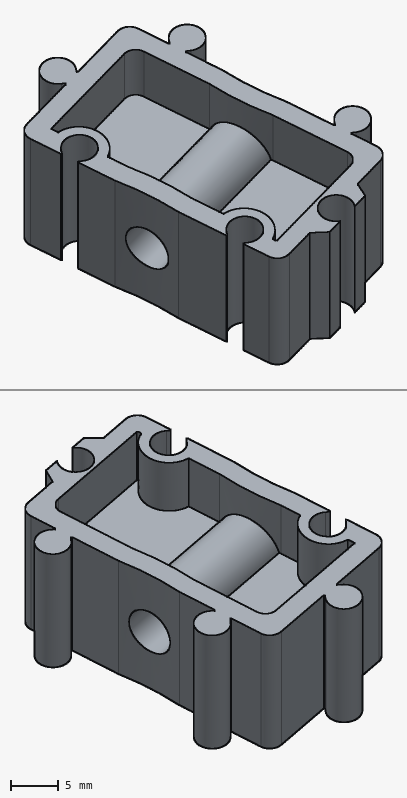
import cadquery as cq
import math

length = 33.9
depth = 20.03
height = 16.0
corner_radius = 1.57
floor_thickness = 9.2

cavity_left = 2.5
cavity_right = 31.68
cavity_front = 2.48
cavity_back = 17.55
cavity_radius = 1.45
corner_groove_depth = 0.1

bore_x = 16.53
bore_z = height / 2
bore_diameter = 5.5
tube_diameter = 8.2
waist_half_width = 4.1
waist_sag = 0.25

pin_radius = 1.95
pin_offset = depth - 18.18
neck_half_width = 1.02
neck_edge_round = 0.1
connector_xs = (6.6, 27.95)
side_connector_y = 10.0
socket_wall_half_width = 3.2
socket_wall_rise = 2.5

lug_reach = 1.65
lug_base_front = 5.4
lug_tip_front = 6.7
lug_tip_back = 13.25
lug_base_back = 14.25
side_socket_x = length + 0.2

overlap = 0.4


def make_connector(x, y, turn):
    """Pin with a narrow neck, standing on a face at (x, y); turn 0 points to +Y."""
    tangent = pin_radius * math.sqrt(0.5)
    shoulder_y = pin_offset - tangent
    neck_y = shoulder_y - (tangent - neck_half_width)
    foot = neck_half_width + neck_edge_round
    profile = (
        cq.Workplane("XY")
        .moveTo(-neck_half_width, -overlap)
        .lineTo(-neck_half_width, 0)
        .lineTo(-foot, 0)
        .lineTo(-neck_half_width, neck_y)
        .lineTo(-tangent, shoulder_y)
        .threePointArc((0, pin_offset + pin_radius), (tangent, shoulder_y))
        .lineTo(neck_half_width, neck_y)
        .lineTo(foot, 0)
        .lineTo(neck_half_width, 0)
        .lineTo(neck_half_width, -overlap)
        .close()
    )
    return profile.extrude(height).rotate((0, 0, 0), (0, 0, 1), turn).translate((x, y, 0))


def make_waist_cutter(y, inward, start_z):
    """Shallow arc segment lying on the wall line y and bulging along inward (+1 or -1)."""
    return (
        cq.Workplane("XY")
        .workplane(offset=start_z)
        .moveTo(bore_x - waist_half_width, y)
        .threePointArc((bore_x, y + inward * waist_sag), (bore_x + waist_half_width, y))
        .close()
        .extrude(height - start_z)
    )


def make_socket_wall(x):
    """Round wall that backs a front socket inside the cavity."""
    return (
        cq.Workplane("XY")
        .moveTo(x - socket_wall_half_width, cavity_front)
        .threePointArc(
            (x, cavity_front + socket_wall_rise),
            (x + socket_wall_half_width, cavity_front),
        )
        .close()
        .extrude(height)
    )


def make_cross_cylinder(diameter, y_start, y_end):
    """Cylinder along Y on the bore axis."""
    return (
        cq.Workplane("XZ", origin=(bore_x, y_start, bore_z))
        .circle(diameter / 2)
        .extrude(y_start - y_end)
    )


def make_cavity():
    """Open-topped pocket with inward-curved long walls and socket walls left standing."""
    cavity = (
        cq.Workplane("XY", origin=(0, 0, floor_thickness))
        .moveTo(cavity_left, cavity_front)
        .lineTo(cavity_right, cavity_front)
        .lineTo(cavity_right, cavity_back)
        .lineTo(cavity_left, cavity_back)
        .close()
        .extrude(height - floor_thickness)
        .edges("|Z and >Y")
        .fillet(cavity_radius)
    )
    cavity = cavity.cut(make_waist_cutter(cavity_front, 1, floor_thickness))
    cavity = cavity.cut(make_waist_cutter(cavity_back, -1, floor_thickness))
    for x in connector_xs:
        cavity = cavity.cut(make_socket_wall(x))

    gap_left = connector_xs[-1] + socket_wall_half_width
    groove = (
        cq.Workplane("XY", origin=(0, 0, floor_thickness))
        .moveTo(gap_left, cavity_front)
        .threePointArc(
            ((gap_left + cavity_right) / 2, cavity_front - corner_groove_depth),
            (cavity_right, cavity_front),
        )
        .close()
        .extrude(height - floor_thickness)
    )
    return cavity.union(groove)


body = cq.Workplane("XY").box(length, depth, height, centered=False)
body = body.edges("|Z").fillet(corner_radius)
body = body.cut(make_waist_cutter(0, 1, 0))
body = body.cut(make_waist_cutter(depth, -1, 0))

cavity = make_cavity().cut(make_cross_cylinder(tube_diameter, 0, depth))
body = body.cut(cavity)
body = body.cut(make_cross_cylinder(bore_diameter, -overlap, depth + overlap))

lug = (
    cq.Workplane("XY")
    .polyline(
        [
            (length - overlap, lug_base_front),
            (length, lug_base_front),
            (length + lug_reach, lug_tip_front),
            (length + lug_reach, lug_tip_back),
            (length, lug_base_back),
            (length - overlap, lug_base_back),
        ]
    )
    .close()
    .extrude(height)
)
side_socket = cq.Workplane("XY").center(side_socket_x, side_connector_y).circle(pin_radius).extrude(height)
body = body.union(lug).cut(side_socket)

for x in connector_xs:
    body = body.cut(make_connector(x, 0, 0))
    body = body.union(make_connector(x, depth, 0))
body = body.union(make_connector(0, side_connector_y, 90))

result = body